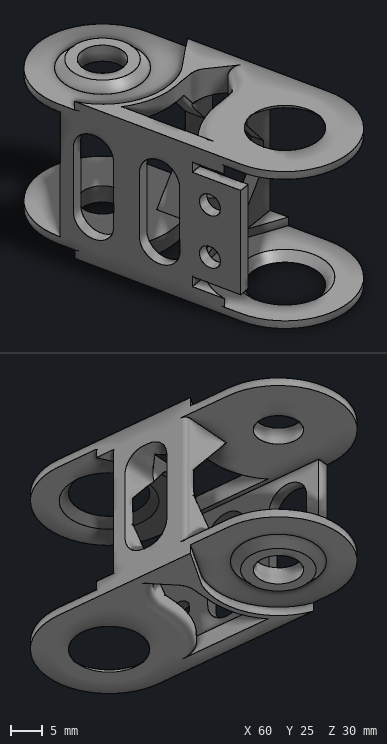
import cadquery as cq
import math

LENGTH = 60.0
WIDTH = 25.0
HEIGHT = 30.0
EAR_THICKNESS = 1.5
EAR_GAP = 0.1
EAR_CLEARANCE_RADIUS = 12.9
STOP_ANGLE = 61.7
STOP_START_ANGLE = 20.4

HALF_WIDTH = WIDTH / 2
HALF_HEIGHT = HEIGHT / 2
PIVOT_X = LENGTH / 2 - HALF_WIDTH

OUTER_EAR_BOTTOM = HALF_HEIGHT - EAR_THICKNESS
INNER_EAR_TOP = OUTER_EAR_BOTTOM - EAR_GAP
INNER_EAR_BOTTOM = INNER_EAR_TOP - EAR_THICKNESS

PIN_BASE_RADIUS = 7.6
PIN_TOP_RADIUS = 6.0
PIN_BORE_DIAMETER = 8.0
SEAT_RADIUS = 6.4
SEAT_INNER_RADIUS = SEAT_RADIUS + EAR_THICKNESS

FRONT_WALL_THICKNESS = 2.1
FRONT_WALL_SETBACK = 0.35
FRONT_WALL_LEFT = FRONT_WALL_SETBACK - PIVOT_X
TAB_LEFT = 8.2
TAB_HALF_HEIGHT = 9.95
SLOT_HEIGHT = 19.8
FRONT_SLOT_WIDTH = 7.75
SLOT_CORNER_RADIUS = 3.85
FRONT_SLOT_CENTERS = (-10.75, 1.9)
SCREW_HOLE_DIAMETER = 4.0
SCREW_HOLE_X = 11.6
SCREW_HOLE_SPACING = 9.95

REAR_WALL_THICKNESS = 1.9
REAR_WALL_LEFT = -8.8
REAR_WALL_RIGHT = 6.2
REAR_WALL_ROUND = 1.1
GUSSET_FLAT_HEIGHT = 4.9
GUSSET_REACH_Y = 2.5
REAR_SLOT_CENTER = -0.55
REAR_SLOT_WIDTH = 8.65

WINDOW_BOTTOM_Y = -9.55
WINDOW_TIP = (0.1, 9.5)
LEFT_FLARE_RADIUS = 13.9
WINDOW_LEFT = LEFT_FLARE_RADIUS - PIVOT_X
LEFT_BEND_RADIUS = 3.6
RIGHT_FLARE_RADIUS = 14.5
WINDOW_RIGHT = 3.8
RIGHT_BEND_RADIUS = 4.8
FLARE_SWEEP = math.radians(60)
WINDOW_EDGE_ROUND = 2.0


def block(x0, x1, y0, y1, z0, z1):
    return cq.Workplane("XY").box(x1 - x0, y1 - y0, z1 - z0, centered=False).translate((x0, y0, z0))


def with_mirror(upper):
    """A feature of the upper plate together with its twin on the lower plate."""
    return upper.union(upper.mirror("XY"))


def swing_pocket(z0, z1):
    """Room for a swinging ear around the left pivot, closed by an arc and a straight rear stop."""
    radius = EAR_CLEARANCE_RADIUS
    start = math.radians(STOP_START_ANGLE)
    middle = (start - math.pi / 2) / 2
    stop_x = -PIVOT_X + radius * math.cos(start)
    stop_y = radius * math.sin(start)
    rear_x = stop_x - (HALF_WIDTH - stop_y) / math.tan(math.radians(STOP_ANGLE))
    return (
        cq.Workplane("XY", origin=(0, 0, z0))
        .moveTo(-LENGTH, -radius)
        .lineTo(-PIVOT_X, -radius)
        .threePointArc(
            (-PIVOT_X + radius * math.cos(middle), radius * math.sin(middle)),
            (stop_x, stop_y),
        )
        .lineTo(rear_x, HALF_WIDTH)
        .lineTo(-LENGTH, HALF_WIDTH)
        .close()
        .extrude(z1 - z0)
    )


def upper_plate():
    """Plate stepped into an inner ear on the left and an outer ear on the right."""
    plate = (
        cq.Workplane("XY", origin=(0, 0, INNER_EAR_BOTTOM))
        .slot2D(LENGTH, WIDTH)
        .extrude(HALF_HEIGHT - INNER_EAR_BOTTOM)
    )
    plate = plate.cut(swing_pocket(INNER_EAR_TOP, HALF_HEIGHT))
    return plate.cut(swing_pocket(INNER_EAR_BOTTOM, OUTER_EAR_BOTTOM).mirror("YZ"))


def cone(x, z0, radius0, z1, radius1):
    return (
        cq.Workplane("XY", origin=(x, 0, z0))
        .circle(radius0)
        .workplane(offset=z1 - z0)
        .circle(radius1)
        .loft(ruled=True)
    )


def wall_slot(x, width):
    """Upright slot with round corners, cutting the front half of the link."""
    return (
        block(x - width / 2, x + width / 2, -HALF_WIDTH, 0, -SLOT_HEIGHT / 2, SLOT_HEIGHT / 2)
        .edges("|Y")
        .fillet(SLOT_CORNER_RADIUS)
    )


def front_wall():
    front = -HALF_WIDTH
    back = front + FRONT_WALL_THICKNESS
    wall = block(FRONT_WALL_LEFT, TAB_LEFT, front, back, -INNER_EAR_BOTTOM, INNER_EAR_BOTTOM)
    wall = wall.union(block(TAB_LEFT, PIVOT_X, front, back, -TAB_HALF_HEIGHT, TAB_HALF_HEIGHT))
    for x in FRONT_SLOT_CENTERS:
        wall = wall.cut(wall_slot(x, FRONT_SLOT_WIDTH))
    holes = (
        cq.Workplane("XZ", origin=(SCREW_HOLE_X, 0, 0))
        .rarray(0.6, SCREW_HOLE_SPACING, 1, 2)
        .circle(SCREW_HOLE_DIAMETER / 2)
        .extrude(WIDTH)
    )
    return wall.cut(holes)


def rear_wall():
    face_y = HALF_WIDTH - REAR_WALL_THICKNESS
    flat = GUSSET_FLAT_HEIGHT / 2
    wall = (
        cq.Workplane("YZ", origin=(REAR_WALL_LEFT, 0, 0))
        .polyline([
            (HALF_WIDTH, -INNER_EAR_BOTTOM),
            (GUSSET_REACH_Y, -INNER_EAR_BOTTOM),
            (face_y, -flat),
            (face_y, flat),
            (GUSSET_REACH_Y, INNER_EAR_BOTTOM),
            (HALF_WIDTH, INNER_EAR_BOTTOM),
        ])
        .close()
        .extrude(REAR_WALL_RIGHT - REAR_WALL_LEFT)
        .edges("|Z and >Y and <X")
        .fillet(REAR_WALL_ROUND)
    )
    wall = wall.cut(wall_slot(REAR_SLOT_CENTER, REAR_SLOT_WIDTH).mirror("XZ"))
    return wall.cut(swing_pocket(-INNER_EAR_BOTTOM, INNER_EAR_BOTTOM).mirror("YZ"))


def window_side(sign, side_x, bend_radius, flare_radius):
    """Solid bounding the window on one side: 45 degree tip edge, bend, straight edge and flare."""
    tip_x, tip_y = WINDOW_TIP
    slant = math.pi / 4
    corner_y = tip_y - abs(side_x - tip_x)
    bend_start_y = corner_y - bend_radius * math.tan(slant / 2)
    bend_end_x = side_x - sign * bend_radius * (1 - math.cos(slant))
    bend_end_y = bend_start_y + bend_radius * math.sin(slant)
    flare_end_x = side_x + sign * flare_radius * (1 - math.cos(FLARE_SWEEP))
    flare_end_y = -flare_radius * math.sin(FLARE_SWEEP)
    return (
        cq.Workplane("XY", origin=(0, 0, -HALF_HEIGHT))
        .moveTo(tip_x - sign * (HALF_WIDTH - tip_y), HALF_WIDTH)
        .lineTo(bend_end_x, bend_end_y)
        .tangentArcPoint((side_x, bend_start_y), relative=False)
        .lineTo(side_x, 0)
        .tangentArcPoint((flare_end_x, flare_end_y), relative=False)
        .lineTo(sign * PIVOT_X, flare_end_y)
        .lineTo(sign * PIVOT_X, HALF_WIDTH)
        .close()
        .extrude(HEIGHT)
    )


def window():
    left = window_side(-1, WINDOW_LEFT, LEFT_BEND_RADIUS, LEFT_FLARE_RADIUS)
    right = window_side(1, WINDOW_RIGHT, RIGHT_BEND_RADIUS, RIGHT_FLARE_RADIUS)
    right = right.edges("|Y and (<Z or >Z)").edges("<X").fillet(WINDOW_EDGE_ROUND)
    opening = block(-PIVOT_X, PIVOT_X, WINDOW_BOTTOM_Y, HALF_WIDTH, -HALF_HEIGHT, HALF_HEIGHT)
    return opening.cut(left).cut(right)


def pin_bore():
    return (
        cq.Workplane("XY", origin=(-PIVOT_X, 0, -HALF_HEIGHT))
        .circle(PIN_BORE_DIAMETER / 2)
        .extrude(HEIGHT)
    )


pins = with_mirror(cone(-PIVOT_X, INNER_EAR_TOP, PIN_BASE_RADIUS, HALF_HEIGHT, PIN_TOP_RADIUS))
seats = with_mirror(cone(PIVOT_X, OUTER_EAR_BOTTOM, SEAT_INNER_RADIUS, HALF_HEIGHT, SEAT_RADIUS))

body = with_mirror(upper_plate()).union(front_wall()).union(rear_wall())
body = body.cut(window())
body = body.union(pins)
result = body.cut(seats).cut(pin_bore())